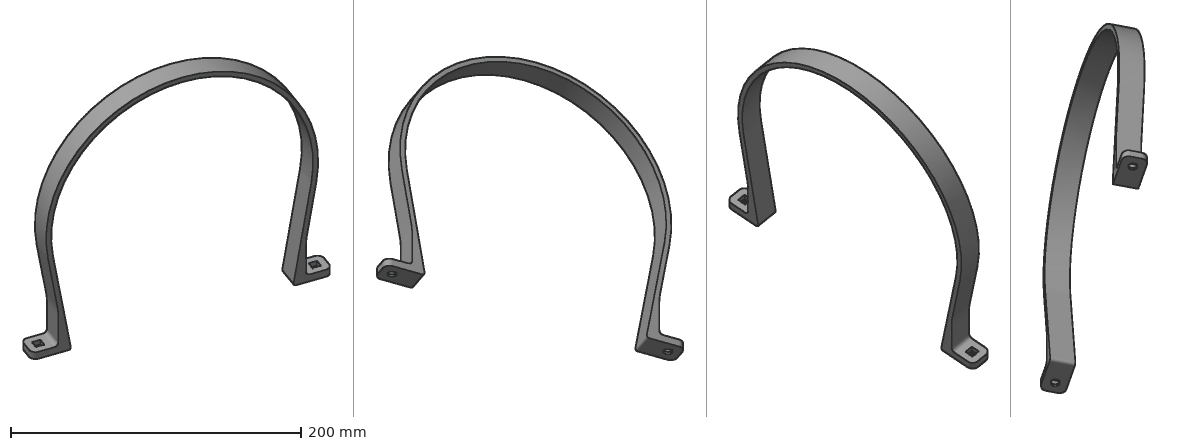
import cadquery as cq
import math

strap_width = 18.0
total_height = 204.5
inner_radius = 100.27
strap_thickness = 4.0
leg_angle = math.radians(9.47)

foot_tip_y = 115.0
foot_thickness = 6.0
foot_corner_radius = 5.0
heel_outer_y = 95.0

bend_radius = 50.0
foot_fillet_radius = 3.0
heel_fillet_radius = 2.0

bolt_diameter = 6.3
square_side = 6.3
square_depth = 4.0
bolt_y = 106.0

outer_radius = inner_radius + strap_thickness
center_z = total_height - outer_radius


def tangent_point(radius):
    """Point (y, z) where a leg face leaves the arch of the given radius."""
    return radius * math.cos(leg_angle), center_z - radius * math.sin(leg_angle)


def leg_y_at(radius, z):
    """Y of the leaning leg face that is tangent to the given arch radius."""
    return radius / math.cos(leg_angle) - (center_z - z) * math.tan(leg_angle)


outer_tangent_y, outer_tangent_z = tangent_point(outer_radius)
inner_tangent_y, inner_tangent_z = tangent_point(inner_radius)
heel_inner_y = leg_y_at(inner_radius, 0)
bend_z = outer_tangent_z - (outer_tangent_y - heel_outer_y) / math.tan(leg_angle)


def make_strap():
    """Arch, leaning legs and feet as one profile extruded across the width."""
    return (
        cq.Workplane("YZ")
        .moveTo(foot_tip_y, 0)
        .lineTo(foot_tip_y, foot_thickness)
        .lineTo(heel_outer_y, foot_thickness)
        .lineTo(heel_outer_y, bend_z)
        .lineTo(outer_tangent_y, outer_tangent_z)
        .threePointArc((0, total_height), (-outer_tangent_y, outer_tangent_z))
        .lineTo(-heel_outer_y, bend_z)
        .lineTo(-heel_outer_y, foot_thickness)
        .lineTo(-foot_tip_y, foot_thickness)
        .lineTo(-foot_tip_y, 0)
        .lineTo(-heel_inner_y, 0)
        .lineTo(-inner_tangent_y, inner_tangent_z)
        .threePointArc((0, center_z + inner_radius), (inner_tangent_y, inner_tangent_z))
        .lineTo(heel_inner_y, 0)
        .close()
        .extrude(strap_width / 2, both=True)
    )


def fillet_cross_edges(body, y, z, radius):
    """Round the edges that run across the strap at (+y, z) and (-y, z)."""
    for side in (1, -1):
        edge = cq.selectors.NearestToPointSelector((0, side * y, z))
        body = body.edges("|X").edges(edge).fillet(radius)
    return body


def round_foot_tips(body):
    """Round the vertical corners at the tip of each foot."""
    for tip_face in (">Y", "<Y"):
        body = body.faces(tip_face).edges("|Z").fillet(foot_corner_radius)
    return body


def cut_bolt_holes(body):
    """Cut a through hole with a square recess above it in each foot."""
    centers = [(0, bolt_y), (0, -bolt_y)]
    holes = cq.Workplane("XY").pushPoints(centers).circle(bolt_diameter / 2).extrude(foot_thickness)
    recesses = (
        cq.Workplane("XY")
        .workplane(offset=foot_thickness - square_depth)
        .pushPoints(centers)
        .rect(square_side, square_side)
        .extrude(square_depth)
    )
    return body.cut(holes).cut(recesses)


strap = make_strap()
strap = fillet_cross_edges(strap, heel_outer_y, bend_z, bend_radius)
strap = fillet_cross_edges(strap, heel_outer_y, foot_thickness, foot_fillet_radius)
strap = fillet_cross_edges(strap, heel_inner_y, 0, heel_fillet_radius)
strap = round_foot_tips(strap)
result = cut_bolt_holes(strap)